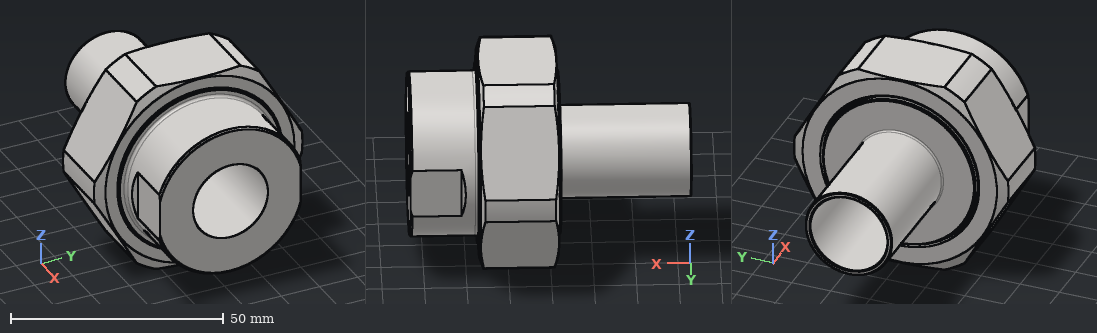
import cadquery as cq
import math

total_length = 66.5
bore_diameter = 19.6

tube_diameter = 22.0
tube_end_chamfer = 0.2
tube_root_fillet = 0.4
flange_face_x = 30.9
flange_diameter = 39.0
flange_chamfer = 0.3

collar_diameter = 43.0
collar_thickness = 4.0

nut_start_x = 31.5
nut_length = 18.55
nut_across_flats = 50.0
nut_corner_diameter = 54.65
nut_face_diameter = 49.55
nut_chamfer_angle = 20.0
nut_lip_diameter = 39.5
nut_lip_chamfer = 0.5
nut_lip_thickness = 4.0
nut_cavity_diameter = 43.35

shoulder_projection = 0.45
shoulder_chamfer = 0.25
body_diameter = 39.0
body_root_fillet = 0.65
body_end_chamfer = 0.45
wrench_across_flats = 36.9
wrench_flat_start_x = 54.5

nut_end_x = nut_start_x + nut_length
lip_end_x = nut_start_x + nut_lip_thickness
joint_x = lip_end_x + collar_thickness
shoulder_end_x = nut_end_x + shoulder_projection


def cylinder(diameter, start_x, end_x):
    """Solid cylinder on the X axis."""
    return cq.Workplane("YZ", origin=(start_x, 0, 0)).circle(diameter / 2).extrude(end_x - start_x)


def revolve_about_x(profile):
    """Full turn of a closed (x, radius) profile about the X axis."""
    return profile.close().revolve(360, (0, 0, 0), (1, 0, 0))


def make_tailpiece():
    bore_radius = bore_diameter / 2
    tube_radius = tube_diameter / 2
    flange_radius = flange_diameter / 2
    collar_radius = collar_diameter / 2
    fillet_mid = tube_root_fillet * (1 - math.sqrt(0.5))
    profile = (
        cq.Workplane("XY")
        .moveTo(tube_end_chamfer, bore_radius)
        .lineTo(0, bore_radius + tube_end_chamfer)
        .lineTo(0, tube_radius - tube_end_chamfer)
        .lineTo(tube_end_chamfer, tube_radius)
        .lineTo(flange_face_x - tube_root_fillet, tube_radius)
        .threePointArc(
            (flange_face_x - fillet_mid, tube_radius + fillet_mid),
            (flange_face_x, tube_radius + tube_root_fillet),
        )
        .lineTo(flange_face_x, flange_radius - flange_chamfer)
        .lineTo(flange_face_x + flange_chamfer, flange_radius)
        .lineTo(lip_end_x, flange_radius)
        .lineTo(lip_end_x, collar_radius)
        .lineTo(joint_x, collar_radius)
        .lineTo(joint_x, bore_radius)
    )
    return revolve_about_x(profile)


def make_nut():
    hexagon = (
        cq.Workplane("YZ", origin=(nut_start_x, 0, 0))
        .polygon(6, nut_across_flats / math.cos(math.radians(30)))
        .extrude(nut_length)
    )
    corner_radius = nut_corner_diameter / 2
    face_radius = nut_face_diameter / 2
    chamfer_length = (corner_radius - face_radius) * math.tan(math.radians(nut_chamfer_angle))
    turned_outline = revolve_about_x(
        cq.Workplane("XY")
        .moveTo(nut_start_x, 0)
        .lineTo(nut_start_x, face_radius)
        .lineTo(nut_start_x + chamfer_length, corner_radius)
        .lineTo(nut_end_x - chamfer_length, corner_radius)
        .lineTo(nut_end_x, face_radius)
        .lineTo(nut_end_x, 0)
    )
    lip_radius = nut_lip_diameter / 2
    cavity_radius = nut_cavity_diameter / 2
    opening = revolve_about_x(
        cq.Workplane("XY")
        .moveTo(nut_start_x, 0)
        .lineTo(nut_start_x, lip_radius + nut_lip_chamfer)
        .lineTo(nut_start_x + nut_lip_chamfer, lip_radius)
        .lineTo(lip_end_x, lip_radius)
        .lineTo(lip_end_x, cavity_radius)
        .lineTo(nut_end_x, cavity_radius)
        .lineTo(nut_end_x, 0)
    )
    return hexagon.intersect(turned_outline).cut(opening)


def make_wrench_cutter():
    """Cutter for the +Y wrench flat, with a 45 degree run-out."""
    flat_y = wrench_across_flats / 2
    cut_depth = body_diameter - flat_y
    return (
        cq.Workplane("XY")
        .moveTo(wrench_flat_start_x, flat_y)
        .lineTo(total_length, flat_y)
        .lineTo(total_length, flat_y + cut_depth)
        .lineTo(wrench_flat_start_x - cut_depth, flat_y + cut_depth)
        .close()
        .extrude(body_diameter / 2, both=True)
        .intersect(cylinder(2 * body_diameter, shoulder_end_x + body_root_fillet, total_length))
    )


def make_body():
    shoulder = cylinder(collar_diameter, joint_x, shoulder_end_x).faces(">X").chamfer(shoulder_chamfer)
    barrel = cylinder(body_diameter, joint_x, total_length).faces(">X").chamfer(body_end_chamfer)
    root_edge = cq.selectors.BoxSelector(
        (shoulder_end_x - shoulder_chamfer / 2, -body_diameter, -body_diameter),
        (shoulder_end_x + shoulder_chamfer / 2, body_diameter, body_diameter),
        boundingbox=True,
    )
    root_circle = cq.selectors.RadiusNthSelector(0)
    body = shoulder.union(barrel).edges(root_edge).edges(root_circle).fillet(body_root_fillet)
    wrench_cutter = make_wrench_cutter()
    for cutter in (wrench_cutter, wrench_cutter.mirror("XZ")):
        body = body.cut(cutter)
    return body.cut(cylinder(bore_diameter, joint_x, total_length))


tailpiece = make_tailpiece()
nut = make_nut()
body = make_body()

result = cq.Compound.makeCompound(
    [*tailpiece.solids().vals(), *nut.solids().vals(), *body.solids().vals()]
)